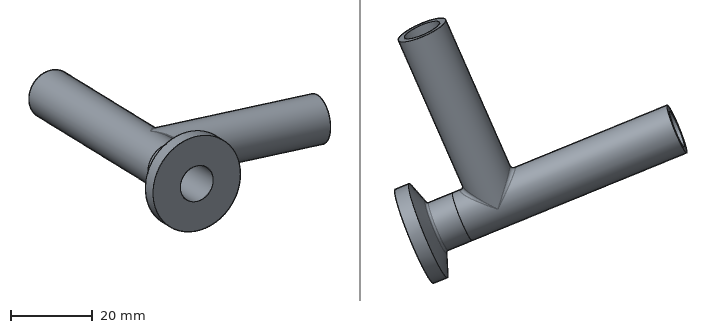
import cadquery as cq
import math

tube_diameter = 12.7
tube_radius = tube_diameter / 2
bore_radius = 4.7

run_length = 57.0
branch_x = 47.6
branch_length = 47.5
saddle_fillet_radius = 1.0

overall_length = 69.8
flange_diameter = 24.9
flange_thickness = 3.7
cone_angle = 20.0
neck_fillet_radius = 0.7

flange_radius = flange_diameter / 2
flange_x = overall_length - flange_thickness
cone_length = (flange_radius - tube_radius) * math.tan(math.radians(cone_angle))
cone_x = flange_x - cone_length


def run_rod(radius):
    """Solid rod along the run."""
    return cq.Workplane("YZ").circle(radius).extrude(run_length)


def branch_rod(radius):
    """Solid rod from the run axis to the open end of the branch."""
    toward_branch_end = cq.Plane(origin=(branch_x, 0, 0), xDir=(1, 0, 0), normal=(0, 1, 0))
    return cq.Workplane(toward_branch_end).circle(radius).extrude(branch_length)


def make_tee():
    """Equal tee with a filleted saddle and open bores."""
    outside = run_rod(tube_radius).union(branch_rod(tube_radius))
    outside = outside.edges("%ELLIPSE").fillet(saddle_fillet_radius)
    return outside.cut(run_rod(bore_radius)).cut(branch_rod(bore_radius))


def make_ferrule():
    """Turned clamp ferrule butted against the end of the run."""
    profile = [
        (run_length, bore_radius),
        (run_length, tube_radius),
        (cone_x, tube_radius),
        (flange_x, flange_radius),
        (overall_length, flange_radius),
        (overall_length, bore_radius),
    ]
    blank = cq.Workplane("XY").polyline(profile).close().revolve(360, (0, 0, 0), (1, 0, 0))
    neck_corner = cq.selectors.BoxSelector(
        (cone_x - neck_fillet_radius, -flange_radius, -flange_radius),
        (cone_x + neck_fillet_radius, flange_radius, flange_radius),
    )
    return blank.edges("%CIRCLE").edges(neck_corner).fillet(neck_fillet_radius)


tee = make_tee()
ferrule = make_ferrule()
result = cq.Compound.makeCompound([tee.val(), ferrule.val()])